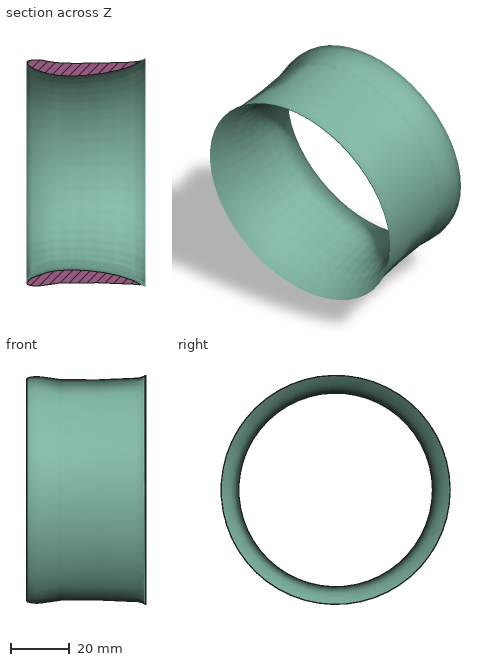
import cadquery as cq

length = 40.5
trailing_radius = 77.8 / 2
waist_radius = 37.35
throat_radius = 32.85
nose_radius = 75.1 / 2
crest_radius = 38.45

nose = (0, nose_radius)
crest = (2.0, crest_radius)
waist = (0.5 * length, waist_radius)
throat = (14.8, throat_radius)
trailing_edge = (length, trailing_radius)

outer_front = (7.2, 38.0)
outer_rear = [(30.35, 37.5), (36.6, 37.8), (38.9, 38.2)]
inner_rear = [(37.35, 37.05), (32.7, 35.25), (26.45, 33.85), (20.2, 33.1)]
inner_front = [(6.2, 33.9), (3.1, 35.0), (0.8, 36.4)]

foil_points = [
    *inner_rear, throat, *inner_front,
    nose, crest, outer_front, waist, *outer_rear, trailing_edge,
]
foil = cq.Workplane("XY").moveTo(*trailing_edge).spline(foil_points, includeCurrent=True).wire()

result = foil.revolve(360, (0, 0, 0), (1, 0, 0))